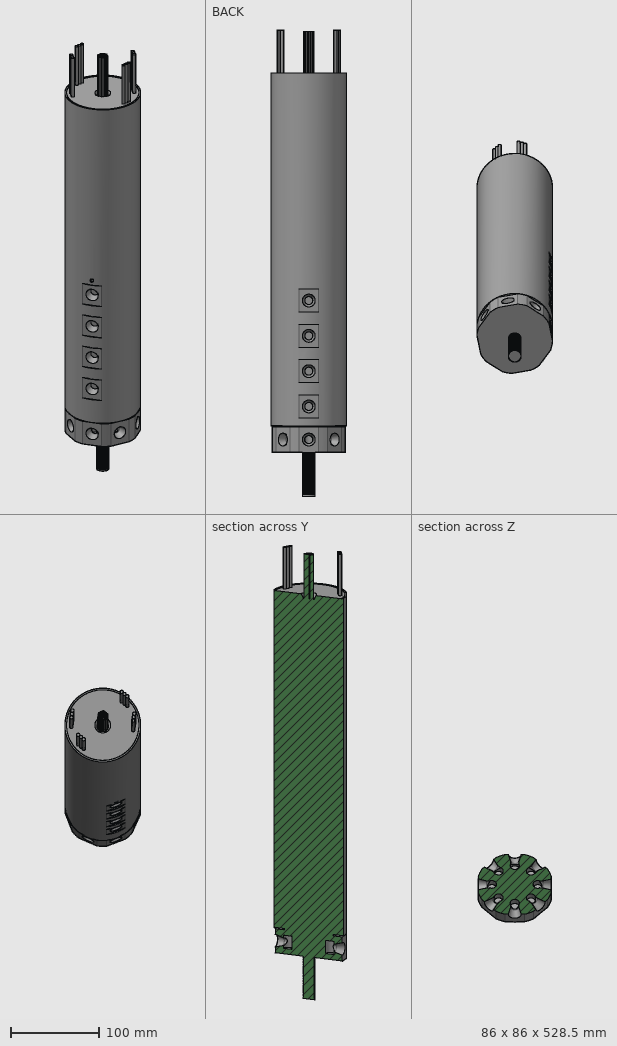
import cadquery as cq
import math

BODY_DIAMETER = 86.0
BODY_RADIUS = BODY_DIAMETER / 2
BODY_LENGTH = 400.0
COLLAR_LENGTH = 29.0
NECK_LENGTH = 1.0
NECK_DIAMETER = 60.0
COLLAR_TOP_Z = -NECK_LENGTH
COLLAR_BOTTOM_Z = COLLAR_TOP_Z - COLLAR_LENGTH

RIM_WIDTH = 2.0
RIM_HEIGHT = 0.5
TOP_FACE_Z = BODY_LENGTH - RIM_HEIGHT

FLAT_DISTANCE = 41.5
COLLAR_FLAT_COUNT = 8

PORT_MOUTH_DIAMETER = 14.5
PORT_END_DIAMETER = 9.0
PORT_DEPTH = 9.5
COLLAR_PORT_Z = (COLLAR_TOP_Z + COLLAR_BOTTOM_Z) / 2

BORE_LENGTH = 6.0
CHAMBER_DIAMETER = 10.0
CHAMBER_HEIGHT = 15.0

PAD_COUNT = 4
PAD_PITCH = 40.0
PAD_HEIGHT = 26.0
FRONT_PAD_LOWEST_Z = 42.0
BACK_PAD_LOWEST_Z = FRONT_PAD_LOWEST_Z - PAD_PITCH / 2

MARKER_DIAMETER = 4.0
MARKER_DEPTH = 2.0
MARKER_Z = 181.0

SPIGOT_DIAMETER = 14.5
SPIGOT_LENGTH = 50.0
SPIGOT_PLAIN_END = 2.0
GROOVE_PITCH = 1.5
GROOVE_DEPTH = 0.6

WIRE_DIAMETER = 3.8
WIRE_PITCH = 4.0
FLAT_CABLE_WIRES = 3
FLAT_CABLE_LENGTH = 48.5
FLAT_CABLE_X = 32.0
FLAT_CABLE_Y = 14.4
FLAT_CABLE_TILT = 30.0

STRAND_DIAMETER = 1.65
STRAND_PITCH = 1.75
STRAND_RINGS = 3
ROUND_CABLE_TOP_Z = BODY_LENGTH + 47.0

RECESS_MOUTH_DIAMETER = 18.0
RECESS_END_DIAMETER = 13.0
RECESS_DEPTH = 5.0


def frustum(base_radius, end_radius, height, base, direction):
    """Cone frustum starting at point base and narrowing along direction."""
    solid = cq.Solid.makeCone(base_radius, end_radius, height, cq.Vector(*base), cq.Vector(*direction))
    return cq.Workplane(obj=solid)


def flat_port(z, angle):
    """Tapered port running inward from a flat that faces the given angle about Z."""
    outward_x = math.cos(math.radians(angle))
    outward_y = math.sin(math.radians(angle))
    mouth = (FLAT_DISTANCE * outward_x, FLAT_DISTANCE * outward_y, z)
    inward = (-outward_x, -outward_y, 0)
    return frustum(PORT_MOUTH_DIAMETER / 2, PORT_END_DIAMETER / 2, PORT_DEPTH, mouth, inward)


def flat_cutter(z, height, angle):
    """Block that removes everything outside a flat facing the given angle about Z."""
    block = cq.Workplane("XY").box(BODY_RADIUS, BODY_DIAMETER, height, centered=(False, True, True))
    return block.translate((FLAT_DISTANCE, 0, z)).rotate((0, 0, 0), (0, 0, 1), angle)


def port_chamber(z, angle):
    """Bore continuing inward from the collar port at the given angle, and the chamber it meets."""
    taper_end = FLAT_DISTANCE - PORT_DEPTH
    chamber_x = taper_end - BORE_LENGTH
    bore = cq.Workplane("YZ", origin=(taper_end, 0, z)).circle(PORT_END_DIAMETER / 2).extrude(-BORE_LENGTH)
    chamber = cq.Workplane("XY", origin=(chamber_x, 0, z)).cylinder(CHAMBER_HEIGHT, CHAMBER_DIAMETER / 2)
    return bore.union(chamber).rotate((0, 0, 0), (0, 0, 1), angle)


def make_tube():
    """Main cylinder with its ported flats, marker hole, top rim and cable recess."""
    tube = cq.Workplane("XY").circle(BODY_RADIUS).extrude(BODY_LENGTH)
    for angle, lowest_z in ((-90, FRONT_PAD_LOWEST_Z), (90, BACK_PAD_LOWEST_Z)):
        for index in range(PAD_COUNT):
            z = lowest_z + index * PAD_PITCH
            tube = tube.cut(flat_cutter(z, PAD_HEIGHT, angle))
            tube = tube.cut(flat_port(z, angle))
    marker = cq.Workplane("XZ", origin=(0, -BODY_RADIUS + MARKER_DEPTH, MARKER_Z))
    tube = tube.cut(marker.circle(MARKER_DIAMETER / 2).extrude(MARKER_DEPTH))
    rim_step = cq.Workplane("XY", origin=(0, 0, TOP_FACE_Z)).circle(BODY_RADIUS - RIM_WIDTH)
    tube = tube.cut(rim_step.extrude(RIM_HEIGHT))
    recess_mouth = (0, 0, TOP_FACE_Z)
    recess = frustum(RECESS_MOUTH_DIAMETER / 2, RECESS_END_DIAMETER / 2, RECESS_DEPTH, recess_mouth, (0, 0, -1))
    return tube.cut(recess)


def make_neck():
    """Thin disc that leaves a narrow gap between the tube and the collar."""
    return cq.Workplane("XY").circle(NECK_DIAMETER / 2).extrude(-NECK_LENGTH)


def make_collar():
    """Disc with a ring of flats, each with a tapered port."""
    collar = cq.Workplane("XY", origin=(0, 0, COLLAR_TOP_Z)).circle(BODY_RADIUS).extrude(-COLLAR_LENGTH)
    for index in range(COLLAR_FLAT_COUNT):
        angle = index * 360 / COLLAR_FLAT_COUNT
        collar = collar.cut(flat_cutter(COLLAR_PORT_Z, COLLAR_LENGTH, angle))
        collar = collar.cut(flat_port(COLLAR_PORT_Z, angle))
        collar = collar.cut(port_chamber(COLLAR_PORT_Z, angle))
    return collar


def make_spigot():
    """Revolved spigot whose side is a row of V grooves."""
    radius = SPIGOT_DIAMETER / 2
    tip_z = COLLAR_BOTTOM_Z - SPIGOT_LENGTH
    groove_count = math.floor((SPIGOT_LENGTH - SPIGOT_PLAIN_END) / GROOVE_PITCH)
    profile = cq.Workplane("XZ").moveTo(0, tip_z).lineTo(radius, tip_z)
    for index in range(groove_count):
        groove_z = tip_z + SPIGOT_PLAIN_END + index * GROOVE_PITCH
        profile = profile.lineTo(radius, groove_z)
        profile = profile.lineTo(radius - GROOVE_DEPTH, groove_z + GROOVE_PITCH / 2)
    profile = profile.lineTo(radius, COLLAR_BOTTOM_Z).lineTo(0, COLLAR_BOTTOM_Z).close()
    return profile.revolve(360, (0, 0, 0), (0, 1, 0))


def make_flat_cables():
    """Four rows of wires near the rim, one in each quadrant."""
    half_row = (FLAT_CABLE_WIRES - 1) / 2
    points = []
    for side_x in (-1, 1):
        for side_y in (-1, 1):
            for index in range(FLAT_CABLE_WIRES):
                offset = (index - half_row) * WIRE_PITCH
                x = FLAT_CABLE_X - offset * math.sin(math.radians(FLAT_CABLE_TILT))
                y = FLAT_CABLE_Y + offset * math.cos(math.radians(FLAT_CABLE_TILT))
                points.append((side_x * x, side_y * y))
    wires = cq.Workplane("XY", origin=(0, 0, TOP_FACE_Z)).pushPoints(points)
    return wires.circle(WIRE_DIAMETER / 2).extrude(FLAT_CABLE_LENGTH + RIM_HEIGHT)


def make_round_cable():
    """Bundle of strands on a hexagonal grid, standing on the recess floor."""
    points = []
    for row in range(-STRAND_RINGS, STRAND_RINGS + 1):
        strands_in_row = 2 * STRAND_RINGS + 1 - abs(row)
        y = row * STRAND_PITCH * math.sqrt(3) / 2
        for index in range(strands_in_row):
            x = (index - (strands_in_row - 1) / 2) * STRAND_PITCH
            points.append((x, y))
    base_z = TOP_FACE_Z - RECESS_DEPTH
    strands = cq.Workplane("XY", origin=(0, 0, base_z)).pushPoints(points)
    return strands.circle(STRAND_DIAMETER / 2).extrude(ROUND_CABLE_TOP_Z - base_z)


result = (
    make_tube()
    .union(make_neck())
    .union(make_collar())
    .union(make_spigot())
    .union(make_flat_cables())
    .union(make_round_cable())
)